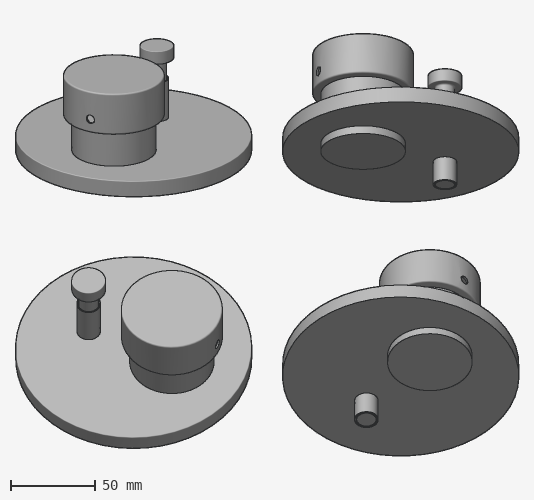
import cadquery as cq
import math

plate_radius = 70.0
plate_thickness = 10.0
plate_bottom = 15.0
plate_top = plate_bottom + plate_thickness
plate_edge_round = 0.5

overall_height = 73.4
knob_radius = 30.0
knob_height = 26.0
knob_edge_round = 1.0
knob_wall = 1.1
knob_bottom = overall_height - knob_height
cavity_radius = knob_radius - knob_wall
cavity_bottom = knob_bottom + knob_wall
cavity_top = overall_height - knob_wall

screw_hole_radius = 2.7
screw_hole_z = 55.9

control_y = -25.0
sleeve_radius = 25.0
sleeve_bottom = 10.0
taper_angle = 23.0
taper_height = cavity_top - cavity_bottom
taper_top_radius = sleeve_radius - taper_height * math.tan(math.radians(taper_angle))

diverter_y = 29.5
guide_radius = 7.0
guide_bore_radius = 6.3
guide_bottom = 0.0
guide_top = 50.0
rod_radius = 5.7
button_radius = 10.1
button_thickness = 8.1
button_top = 71.3
button_bottom = button_top - button_thickness
button_edge_round = 0.4
rod_root_round = 1.0


def cylinder(radius, y, bottom, top):
    """Upright cylinder centred on X = 0 at the given Y."""
    return cq.Workplane("XY", origin=(0, y, bottom)).circle(radius).extrude(top - bottom)


def make_plate():
    plate = cylinder(plate_radius, 0, plate_bottom, plate_top)
    plate = plate.faces(">Z").edges().fillet(plate_edge_round)
    plate = plate.cut(cylinder(sleeve_radius, control_y, plate_bottom, plate_top))
    return plate.cut(cylinder(guide_radius, diverter_y, plate_bottom, plate_top))


def make_sleeve():
    profile = (
        cq.Workplane("YZ", origin=(0, control_y, 0))
        .moveTo(0, sleeve_bottom)
        .lineTo(-sleeve_radius, sleeve_bottom)
        .lineTo(-sleeve_radius, cavity_bottom)
        .lineTo(-taper_top_radius, cavity_top)
        .lineTo(0, cavity_top)
        .close()
    )
    return profile.revolve(360, (0, 0), (0, 1))


def make_knob():
    knob = cylinder(knob_radius, control_y, knob_bottom, overall_height)
    knob = knob.edges().fillet(knob_edge_round)
    knob = knob.cut(cylinder(cavity_radius, control_y, cavity_bottom, cavity_top))
    knob = knob.cut(cylinder(sleeve_radius, control_y, knob_bottom, cavity_bottom))
    screw_hole = (
        cq.Workplane("XZ", origin=(0, control_y, screw_hole_z))
        .circle(screw_hole_radius)
        .extrude(knob_radius)
    )
    return knob.cut(screw_hole)


def make_guide():
    tube = cylinder(guide_radius, diverter_y, guide_bottom, guide_top)
    return tube.cut(cylinder(guide_bore_radius, diverter_y, guide_bottom, guide_top))


def make_button():
    head = cylinder(button_radius, diverter_y, button_bottom, button_top)
    head = head.edges().fillet(button_edge_round)
    rod = cylinder(rod_radius, diverter_y, guide_bottom, button_bottom)
    button = head.union(rod)
    underside = button.faces(cq.selectors.NearestToPointSelector((0, diverter_y, button_bottom)))
    root_edge = underside.edges(cq.selectors.RadiusNthSelector(0))
    return root_edge.fillet(rod_root_round)


plate = make_plate()
sleeve = make_sleeve()
knob = make_knob()
guide = make_guide()
button = make_button()

result = cq.Compound.makeCompound(
    [plate.val(), sleeve.val(), knob.val(), guide.val(), button.val()]
)